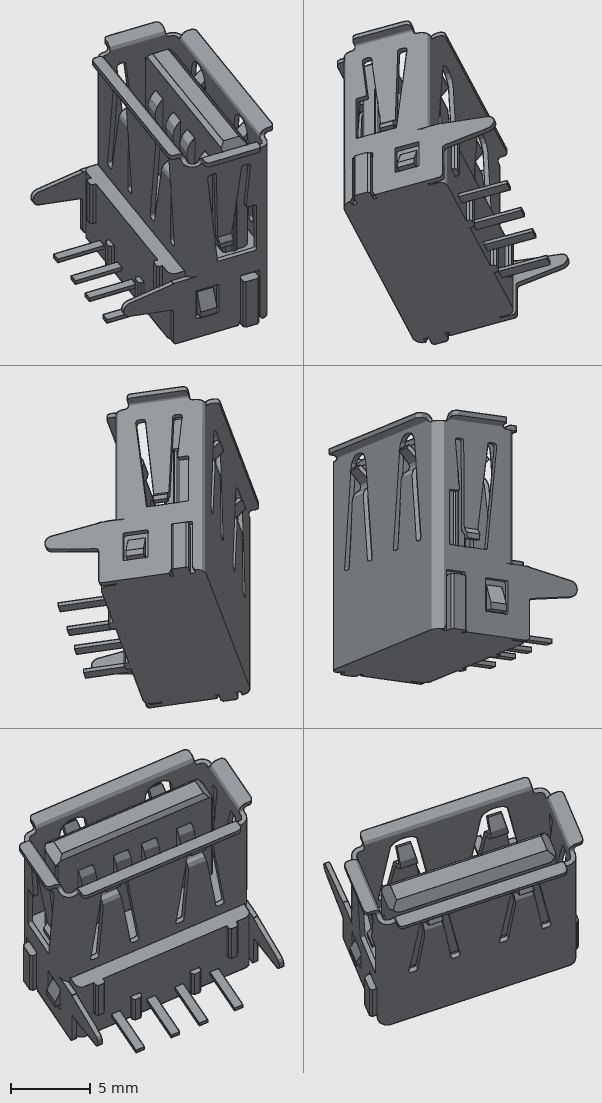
import cadquery as cq
import math

overall_width = 14.63
overall_depth = 10.95
overall_height = 14.0
sheet = 0.32
corner_radius = 0.65
flange_reach = 0.72
flange_bend = 0.26

shell_x = overall_width / 2 - flange_reach
shell_y = 2.9
cavity_x = shell_x - sheet
cavity_y = shell_y - sheet
shell_top = overall_height - flange_bend - sheet
sides = (-1, 1)

flange_half_x = 5.63
flange_half_y = 1.93
flange_root_fillet = 0.28
flange_corner = 0.29

face_window_x = 3.03
face_window_bottom = 6.07
face_window_top = 13.28
face_window_bottom_half = 1.74
face_window_top_half = 0.82
face_window_arch = 0.89
slot_radius = 0.19
spring_root_half = 1.13
spring_tip_half = 0.45
spring_tip_corner = 0.18
spring_tip_z = 12.5
spring_bend_z = 10.72
spring_valley_z = 11.27
spring_end_z = 12.22
spring_dip = 0.73
spring_flick = 0.26
spring_bend_radii = {2: 0.35, 3: 0.32}
front_lean = 0.065
back_lean = -0.01

side_window_top = 12.42
side_window_bottom = 5.49
side_window_step = 9.04
side_window_front_top = -1.52
side_window_front_bottom = -0.8
side_window_back_top = 1.5
side_window_back_step = 1.19
side_window_back_bottom = 1.9
side_window_top_radius = 0.23
side_spring_root_half = 0.88
side_spring_tip_half = 0.44
side_spring_end = 6.17
side_spring_valley = 6.88
side_spring_lip = 6.52
side_spring_dip = 0.61
side_spring_curl = 0.29

plate_top = 4.78
plate_front = -3.88
plate_corner = 0.23
leg_tip = shell_y + flange_reach - overall_depth
leg_z = 3.73
leg_root_half = 1.01
leg_tip_half = 0.51
leg_round = 0.42

body_top = 5.15
body_x = 6.17
body_front = -3.89
body_corner = 0.48
front_rib_width = 0.67
front_rib_depth = 0.35
front_rib_split = 2.09
upper_rib_x = 4.73
lower_rib_x = 2.1
rib_chamfer = 0.15

side_rib_y = 1.4
side_rib_width = 1.11
side_rib_top = 3.55
side_rib_x = 6.98
rib_slot_y = 1.46
rib_slot_half = 0.67
rib_slot_top = 3.85
rib_slot_flare = 0.29
catch_y = -1.5
catch_width = 1.13
catch_bottom = 1.64
catch_edge = 2.09
catch_top = 3.3
catch_x = 6.82
catch_window_width = 1.61
catch_window_bottom = 1.5
catch_window_top = 3.67
window_corner = 0.12

tongue_x = 5.59
tongue_front = 0.1
tongue_back = 2.02
tongue_top = 13.49
tongue_bevel = 0.55
tongue_front_bevel = 0.26
tongue_bevel_slope = 1.2
tongue_edge_chamfer = 0.13
tongue_corner = 0.65
key_top = 10.53
key_y = 0.86
key_half_width = 0.18
key_height = 0.1
key_lead_in = 0.25

contact_positions = (-3.5, -1.0, 1.0, 3.5)
contact_width = 1.04
contact_top = 11.41
contact_bend_z = 10.02
contact_low = 7.32
contact_front = -0.42
pin_width = 0.6
pin_bottom = 0.85
pin_thickness = 0.28
pin_tip = -7.12


def block(x0, x1, y0, y1, z0, z1):
    """Box between two opposite corners."""
    return cq.Workplane("XY").box(x1 - x0, y1 - y0, z1 - z0, centered=False).translate((x0, y0, z0))


def across_x(outline):
    """Extrude a YZ outline through the whole width."""
    return outline.extrude(overall_width, both=True)


def both_sides(solid):
    """Solid together with its mirror image in X."""
    return solid.union(solid.mirror("YZ"))


def to_wall(solid, angle, shift=0):
    """Turn a feature made for the +X wall to another wall, then shift it in X."""
    return solid.rotate((0, 0, 0), (0, 0, 1), angle).translate((shift, 0, 0))


def flange(wall, half_length):
    """Outward bent flange on the +X wall."""
    bend = wall + flange_bend
    low = shell_top + flange_bend
    diagonal = math.sqrt(0.5)
    outer_bend = flange_bend + sheet
    profile = (
        cq.Workplane("XZ")
        .moveTo(wall - sheet, shell_top)
        .lineTo(wall, shell_top)
        .threePointArc((bend - flange_bend * diagonal, shell_top + flange_bend * diagonal), (bend, low))
        .lineTo(wall + flange_reach, low)
        .lineTo(wall + flange_reach, overall_height)
        .lineTo(bend, overall_height)
        .threePointArc(
            (bend - outer_bend * diagonal, shell_top + outer_bend * diagonal), (wall - sheet, shell_top)
        )
        .close()
        .extrude(half_length + flange_root_fillet, both=True)
    )
    root = half_length + flange_root_fillet
    outline = (
        cq.Workplane("YZ")
        .moveTo(-root, shell_top)
        .radiusArc((-half_length, shell_top + flange_root_fillet), -flange_root_fillet)
        .lineTo(-half_length, overall_height)
        .lineTo(half_length, overall_height)
        .lineTo(half_length, shell_top + flange_root_fillet)
        .radiusArc((root, shell_top), -flange_root_fillet)
        .close()
    )
    bent = profile.intersect(across_x(outline))
    return bent.edges("|Z").edges(">X").fillet(flange_corner)


def offset_path(path):
    """Path of (x, z) points moved towards -X by the sheet thickness, with mitred corners."""
    normals = []
    for (x0, z0), (x1, z1) in zip(path, path[1:]):
        length = math.hypot(x1 - x0, z1 - z0)
        side = 1 if z1 > z0 else -1
        normals.append((-side * (z1 - z0) / length, side * (x1 - x0) / length))
    before = normals[:1] + normals
    after = normals + normals[-1:]
    moved = []
    for (x, z), (ax, az), (bx, bz) in zip(path, before, after):
        mitre = sheet / (1 + ax * bx + az * bz)
        moved.append((x + mitre * (ax + bx), z + mitre * (az + bz)))
    return moved


def bent_strip(path, bend_radii):
    """Wide strip of sheet on the -X side of a path; bend_radii gives inside radii by path index."""
    inner = offset_path(path)
    strip = cq.Workplane("XZ").polyline(path + inner[::-1]).close().extrude(overall_width, both=True)
    for index, radius in bend_radii.items():
        (x0, z0), (x1, z1), (x2, z2) = path[index - 1:index + 2]
        turns_inward = (x1 - x0) * (z2 - z1) - (z1 - z0) * (x2 - x1) > 0
        path_radius = radius + sheet if turns_inward else radius
        inner_radius = radius if turns_inward else radius + sheet
        for (x, z), corner in ((path[index], path_radius), (inner[index], inner_radius)):
            bend = cq.selectors.NearestToPointSelector((x, 0, z))
            strip = strip.edges("|Y").edges(bend).fillet(corner)
    return strip


def spring_outline(root_z, tip_z, root_half, tip_half):
    """Tapered prism that trims a strip to a spring, flared at root_z and free at tip_z."""
    up = math.copysign(1, tip_z - root_z)
    flare = root_half + slot_radius
    outline = (
        cq.Workplane("YZ")
        .moveTo(-flare, root_z - up * sheet)
        .lineTo(-flare, root_z)
        .radiusArc((-root_half, root_z + up * slot_radius), -up * slot_radius)
        .lineTo(-tip_half, tip_z)
        .lineTo(tip_half, tip_z)
        .lineTo(root_half, root_z + up * slot_radius)
        .radiusArc((flare, root_z), -up * slot_radius)
        .lineTo(flare, root_z - up * sheet)
        .close()
    )
    return across_x(outline)


def face_spring(lean):
    """Spring of the front or back wall, made as if on the +X side."""
    stations = (
        (0, face_window_bottom),
        (0, spring_bend_z),
        (spring_dip, spring_valley_z),
        (-spring_flick, spring_end_z),
    )
    path = [(shell_y, face_window_bottom - sheet)]
    for inward, z in stations:
        path.append((shell_y - inward - lean * (z - face_window_bottom), z))
    strip = bent_strip(path, spring_bend_radii)
    outline = spring_outline(face_window_bottom, spring_tip_z, spring_root_half, spring_tip_half)
    return strip.intersect(outline.edges("|X and >Z").fillet(spring_tip_corner))


def side_spring():
    """Spring hanging from the top of a side window."""
    valley = shell_x - side_spring_dip
    lip = valley + side_spring_curl
    path = [
        (shell_x, side_window_top + sheet),
        (shell_x, side_window_top),
        (valley, side_spring_valley),
        (lip, side_spring_lip),
        (lip, side_spring_end),
    ]
    outline = spring_outline(
        side_window_top, side_spring_end, side_spring_root_half, side_spring_tip_half
    )
    return bent_strip(path, {}).intersect(outline)


def face_windows():
    """Arched openings through the front and back walls."""
    outline = cq.Workplane("XZ").polyline([
        (-face_window_bottom_half, face_window_bottom),
        (face_window_bottom_half, face_window_bottom),
        (face_window_top_half, face_window_top),
        (-face_window_top_half, face_window_top),
    ])
    window = outline.close().extrude(overall_width, both=True)
    window = window.edges("|Y and <Z").fillet(slot_radius)
    window = window.edges("|Y and >Z").fillet(face_window_arch)
    return both_sides(window.translate((face_window_x, 0, 0)))


def side_windows():
    """Stepped openings through both side walls."""
    outline = cq.Workplane("YZ").polyline([
        (side_window_back_bottom, side_window_bottom),
        (side_window_back_bottom, side_window_step),
        (side_window_back_step, side_window_step),
        (side_window_back_top, side_window_top),
        (side_window_front_top, side_window_top),
        (side_window_front_bottom, side_window_bottom),
    ])
    window = across_x(outline.close())
    window = window.edges("|X and (not >Z)").fillet(window_corner)
    return window.edges("|X and >Z").fillet(side_window_top_radius)


def rib_slots():
    """Slots in the side walls for the body's side ribs, flared at the bottom."""
    foot_half = rib_slot_half + rib_slot_flare / 2
    outline = cq.Workplane("YZ").polyline([
        (rib_slot_y - foot_half, 0),
        (rib_slot_y - rib_slot_half, rib_slot_flare),
        (rib_slot_y - rib_slot_half, rib_slot_top),
        (rib_slot_y + rib_slot_half, rib_slot_top),
        (rib_slot_y + rib_slot_half, rib_slot_flare),
        (rib_slot_y + foot_half, 0),
    ])
    return across_x(outline.close()).edges("|X and >Z").fillet(window_corner)


def catch_windows():
    """Openings in the side plates round the body's catches."""
    half = catch_window_width / 2
    window = block(
        -overall_width, overall_width, catch_y - half, catch_y + half, catch_window_bottom, catch_window_top
    )
    return window.edges("|X").fillet(window_corner)


def side_plate():
    """Flat lower part of the +X wall, reaching forward, with its solder leg."""
    rear = corner_radius - shell_y
    arc_start = leg_tip + leg_round
    plate = (
        cq.Workplane("YZ", origin=(cavity_x, 0, 0))
        .moveTo(rear, 0)
        .lineTo(rear, plate_top)
        .lineTo(plate_front, plate_top)
        .lineTo(plate_front, leg_z + leg_root_half)
        .lineTo(arc_start, leg_z + leg_tip_half)
        .threePointArc((leg_tip, leg_z), (arc_start, leg_z - leg_tip_half))
        .lineTo(plate_front, leg_z - leg_root_half)
        .lineTo(plate_front, 0)
        .close()
        .extrude(sheet)
    )
    lower_front = cq.selectors.BoxSelector(
        (0, plate_front - plate_corner, -plate_corner), (overall_width, plate_front + plate_corner, leg_z)
    )
    return plate.edges("|X").edges(lower_front).fillet(plate_corner)


def shell():
    """Sheet metal tube with its windows, side plates, flanges and springs."""
    tube = (
        cq.Workplane("XY").rect(2 * shell_x, 2 * shell_y).extrude(shell_top)
        .edges("|Z").fillet(corner_radius)
    )
    cavity = (
        cq.Workplane("XY").rect(2 * cavity_x, 2 * cavity_y).extrude(shell_top)
        .edges("|Z").fillet(corner_radius - sheet)
    )
    metal = tube.cut(cavity).cut(face_windows()).cut(side_windows())
    metal = metal.union(both_sides(side_plate()))
    metal = metal.cut(rib_slots()).cut(catch_windows())
    for angle in (0, 180):
        metal = metal.union(to_wall(flange(shell_x, flange_half_y), angle))
        metal = metal.union(to_wall(side_spring(), angle))
    for angle, lean in ((90, back_lean), (-90, front_lean)):
        metal = metal.union(to_wall(flange(shell_y, flange_half_x), angle))
        for side in sides:
            metal = metal.union(to_wall(face_spring(lean), angle, side * face_window_x))
    return metal


def front_rib(x, z0, z1):
    """Upright rib on the front of the body."""
    half = front_rib_width / 2
    rib = block(x - half, x + half, body_front - front_rib_depth, body_front, z0, z1)
    return rib.edges("|Z and <Y").chamfer(rib_chamfer)


def side_rib():
    """Rib that fills the slot in the +X wall."""
    half = side_rib_width / 2
    rib = block(body_x, side_rib_x, side_rib_y - half, side_rib_y + half, 0, side_rib_top)
    return rib.edges("|Z and >X").chamfer(rib_chamfer)


def catch():
    """Wedge that snaps into the window of the +X side plate."""
    return (
        cq.Workplane("XZ", origin=(0, catch_y, 0))
        .polyline([
            (body_x, catch_bottom),
            (catch_x, catch_bottom),
            (catch_x, catch_edge),
            (cavity_x, catch_top),
            (body_x, catch_top),
        ])
        .close()
        .extrude(catch_width / 2, both=True)
    )


def body():
    """Plastic block filling the lower part of the shell."""
    base = block(-cavity_x, cavity_x, -cavity_y, cavity_y, 0, body_top)
    base = base.edges("|Z").fillet(corner_radius - sheet)
    front = block(-body_x, body_x, body_front, 0, 0, body_top).edges("|Z and <Y").fillet(body_corner)
    plastic = base.union(front)
    for side in sides:
        plastic = plastic.union(front_rib(side * upper_rib_x, front_rib_split, body_top))
        plastic = plastic.union(front_rib(side * lower_rib_x, 0, front_rib_split))
    return plastic.union(both_sides(side_rib())).union(both_sides(catch()))


def tongue():
    """Upright tongue with bevels round its top and a key on each end."""
    bevel_height = tongue_bevel * tongue_bevel_slope
    bevel_foot = tongue_top - bevel_height
    lower = block(-tongue_x, tongue_x, tongue_front, tongue_back, 0, bevel_foot)
    lower = lower.edges("|Z and <Y").chamfer(tongue_edge_chamfer)
    upper = block(-tongue_x, tongue_x, tongue_front, tongue_back, bevel_foot, tongue_top)
    slab = lower.union(upper, clean=False)
    plan = block(-tongue_x, tongue_x, tongue_front, tongue_back, 0, tongue_top)
    plan = plan.edges("|Z and >Y").fillet(tongue_corner)
    end_limit = cq.Workplane("XZ").polyline([
        (-tongue_x, 0),
        (-tongue_x, bevel_foot),
        (tongue_bevel - tongue_x, tongue_top),
        (tongue_x - tongue_bevel, tongue_top),
        (tongue_x, bevel_foot),
        (tongue_x, 0),
    ])
    end_limit = end_limit.close().extrude(overall_width, both=True)
    face_limit = cq.Workplane("YZ").polyline([
        (tongue_front, 0),
        (tongue_front, tongue_top - tongue_front_bevel * tongue_bevel_slope),
        (tongue_front + tongue_front_bevel, tongue_top),
        (tongue_back - tongue_bevel, tongue_top),
        (tongue_back, bevel_foot),
        (tongue_back, 0),
    ])
    key = cq.Workplane("XZ", origin=(0, key_y, 0)).polyline([
        (tongue_x - key_height, 0),
        (tongue_x + key_height, 0),
        (tongue_x + key_height, key_top - key_lead_in),
        (tongue_x, key_top),
        (tongue_x - key_height, key_top),
    ])
    key = key.close().extrude(key_half_width, both=True)
    key_plan = block(0, tongue_x + key_height, key_y - key_half_width, key_y + key_half_width, 0, key_top)
    key = key.intersect(key_plan.edges("|Z and >X").chamfer(key_height))
    slab = slab.intersect(plan).intersect(end_limit).intersect(across_x(face_limit.close()))
    return slab.union(both_sides(key))


def contact(x):
    """Contact bowed out of the tongue's front face."""
    half = contact_width / 2
    seat = tongue_front + sheet / 2
    return (
        cq.Workplane("YZ", origin=(x - half, 0, 0))
        .moveTo(seat, contact_low)
        .lineTo(tongue_front, contact_low)
        .lineTo(contact_front, contact_bend_z)
        .tangentArcPoint((tongue_front, contact_top), relative=False)
        .lineTo(seat, contact_top)
        .close()
        .extrude(contact_width)
    )


def pin(x):
    """Solder pin reaching forward from the body."""
    half = pin_width / 2
    return block(x - half, x + half, pin_tip, body_front + sheet, pin_bottom, pin_bottom + pin_thickness)


result = shell().union(body()).union(tongue())
for position in contact_positions:
    result = result.union(contact(position)).union(pin(position))